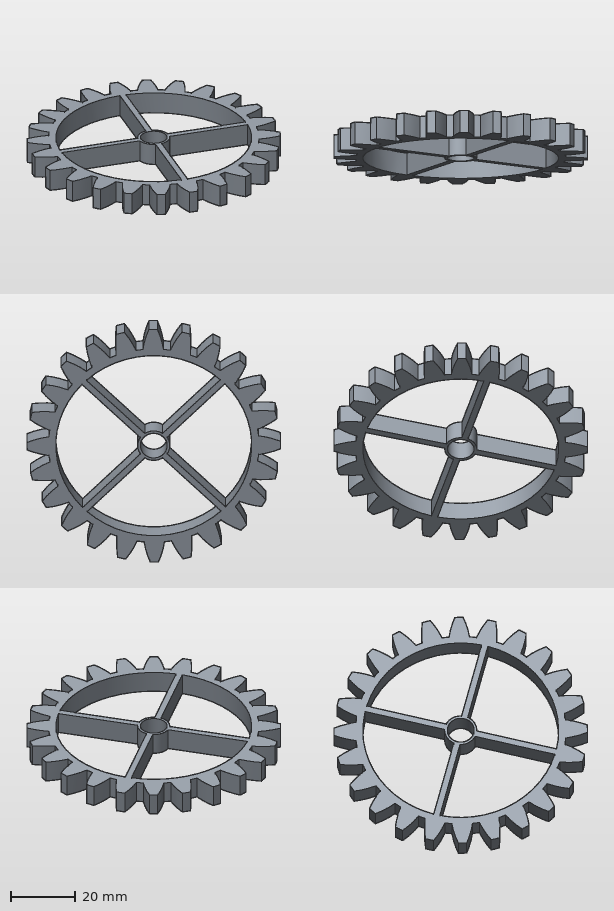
import cadquery as cq
import math

TOOTH_COUNT = 24
TIP_DIAMETER = 79.0
ROOT_DIAMETER = 65.6
THICKNESS = 7.0

TIP_WIDTH = 2.6
MIDDLE_WIDTH = 4.98
ROOT_WIDTH = 6.4

RIM_INNER_DIAMETER = 61.0
SPOKE_COUNT = 4
SPOKE_WIDTH = 2.0
HUB_DIAMETER = 10.0
BORE_DIAMETER = 8.3

TIP_RADIUS = TIP_DIAMETER / 2
ROOT_RADIUS = ROOT_DIAMETER / 2
MIDDLE_RADIUS = (TIP_RADIUS + ROOT_RADIUS) / 2


def polar_point(radius, angle):
    """Point at the given radius and angle (radians) around the gear axis."""
    return (radius * math.cos(angle), radius * math.sin(angle))


def half_angle(width, radius):
    """Angle between the tooth centre line and a corner of a chord of this width."""
    return math.asin(width / 2 / radius)


def make_toothed_disc():
    """Solid disc with arc-shaped tooth flanks and round tips and roots."""
    pitch_angle = 2 * math.pi / TOOTH_COUNT
    tip_angle = half_angle(TIP_WIDTH, TIP_RADIUS)
    middle_angle = half_angle(MIDDLE_WIDTH, MIDDLE_RADIUS)
    root_angle = half_angle(ROOT_WIDTH, ROOT_RADIUS)

    outline = cq.Workplane("XY").moveTo(*polar_point(ROOT_RADIUS, -root_angle))
    for tooth in range(TOOTH_COUNT):
        centre = tooth * pitch_angle
        outline = outline.threePointArc(
            polar_point(MIDDLE_RADIUS, centre - middle_angle),
            polar_point(TIP_RADIUS, centre - tip_angle),
        )
        outline = outline.threePointArc(
            polar_point(TIP_RADIUS, centre),
            polar_point(TIP_RADIUS, centre + tip_angle),
        )
        outline = outline.threePointArc(
            polar_point(MIDDLE_RADIUS, centre + middle_angle),
            polar_point(ROOT_RADIUS, centre + root_angle),
        )
        outline = outline.threePointArc(
            polar_point(ROOT_RADIUS, centre + pitch_angle / 2),
            polar_point(ROOT_RADIUS, centre + pitch_angle - root_angle),
        )
    return outline.close().extrude(THICKNESS)


def make_cylinder(diameter):
    """Full-thickness cylinder on the gear axis."""
    return cq.Workplane("XY").circle(diameter / 2).extrude(THICKNESS)


def make_spoke(angle_degrees):
    """Full-thickness bar from the gear axis into the rim."""
    length = (RIM_INNER_DIAMETER / 2 + ROOT_RADIUS) / 2
    bar = cq.Workplane("XY").box(length, SPOKE_WIDTH, THICKNESS, centered=(False, True, False))
    return bar.rotate((0, 0, 0), (0, 0, 1), angle_degrees)


gear = make_toothed_disc().cut(make_cylinder(RIM_INNER_DIAMETER))
wheel = gear.union(make_cylinder(HUB_DIAMETER))
for spoke in range(SPOKE_COUNT):
    wheel = wheel.union(make_spoke(spoke * 360 / SPOKE_COUNT))

result = wheel.cut(make_cylinder(BORE_DIAMETER))